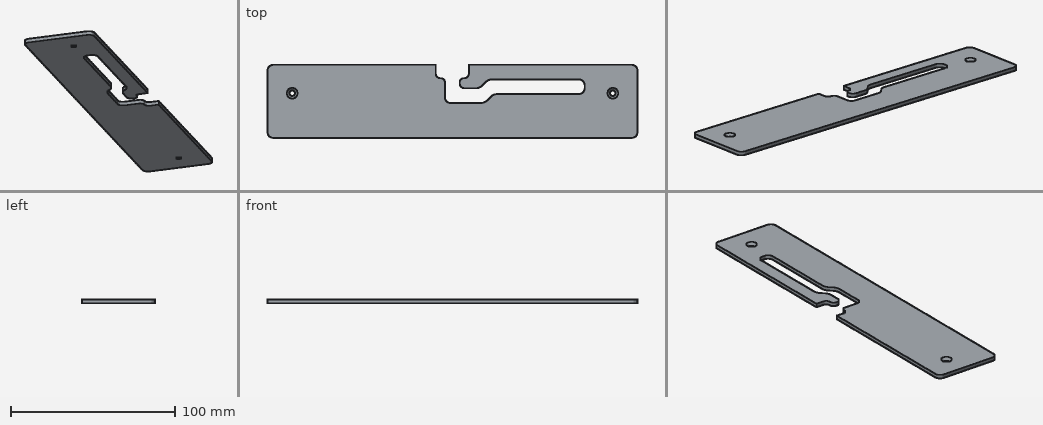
import cadquery as cq

length = 225.2
width = 44.5
thickness = 2.5
corner_radius = 3.5

hole_x = 97.5
hole_y = 5.0
hole_diameter = 3.2
countersink_diameter = 6.5
countersink_angle = 90

neck_left = -10.1
neck_right = 10.0
ledge_width = 5.6
ledge_depth = 8.0
slot_depth = 9.0
slot_width = 8.8
slot_end = 80.5
crank_drop = 5.5
upper_ramp_start = 16.5
ramp_shift = 3.2
ledge_radius = 2.7
throat_radius = 3.2
slot_end_radius = 3.5
ramp_radius = 5.6

back_edge = width / 2
throat_left = neck_left + ledge_width
hook_tip = neck_right - ledge_width
ledge_y = back_edge - ledge_depth
slot_top = back_edge - slot_depth
slot_bottom = slot_top - slot_width
hook_bottom = slot_top - crank_drop
pocket_bottom = slot_bottom - crank_drop
lower_ramp_start = upper_ramp_start + ramp_shift


def make_plate():
    plate = cq.Workplane("XY").box(length, width, thickness, centered=(True, True, False))
    return plate.edges("|Z").fillet(corner_radius)


def round_corners(body, corners, radius):
    """Fillet the vertical edges standing at the given XY corners."""
    for x, y in corners:
        edge = cq.selectors.NearestToPointSelector((x, y, thickness / 2))
        body = body.edges("|Z").edges(edge).fillet(radius)
    return body


def make_cutout():
    left_ledge = [(neck_left, ledge_y), (throat_left, ledge_y)]
    right_ledge = [(hook_tip, ledge_y), (neck_right, ledge_y)]
    ledge_corners = left_ledge + right_ledge
    pocket_corner = (throat_left, pocket_bottom)
    hook_corner = (hook_tip, hook_bottom)
    lower_ramp = [
        (lower_ramp_start, pocket_bottom),
        (lower_ramp_start + crank_drop, slot_bottom),
    ]
    upper_ramp = [
        (upper_ramp_start + crank_drop, slot_top),
        (upper_ramp_start, hook_bottom),
    ]
    slot_end_corners = [(slot_end, slot_bottom), (slot_end, slot_top)]
    outline = (
        [(neck_left, back_edge)]
        + left_ledge
        + [pocket_corner]
        + lower_ramp
        + slot_end_corners
        + upper_ramp
        + [hook_corner]
        + right_ledge
        + [(neck_right, back_edge)]
    )
    cutout = cq.Workplane("XY").polyline(outline).close().extrude(thickness)
    cutout = round_corners(cutout, ledge_corners, ledge_radius)
    cutout = round_corners(cutout, [pocket_corner, hook_corner], throat_radius)
    cutout = round_corners(cutout, slot_end_corners, slot_end_radius)
    return round_corners(cutout, lower_ramp + upper_ramp, ramp_radius)


def add_mounting_holes(plate):
    return (
        plate.faces(">Z")
        .workplane(origin=(0, 0, thickness))
        .pushPoints([(-hole_x, hole_y), (hole_x, hole_y)])
        .cskHole(hole_diameter, countersink_diameter, countersink_angle)
    )


result = add_mounting_holes(make_plate()).cut(make_cutout())